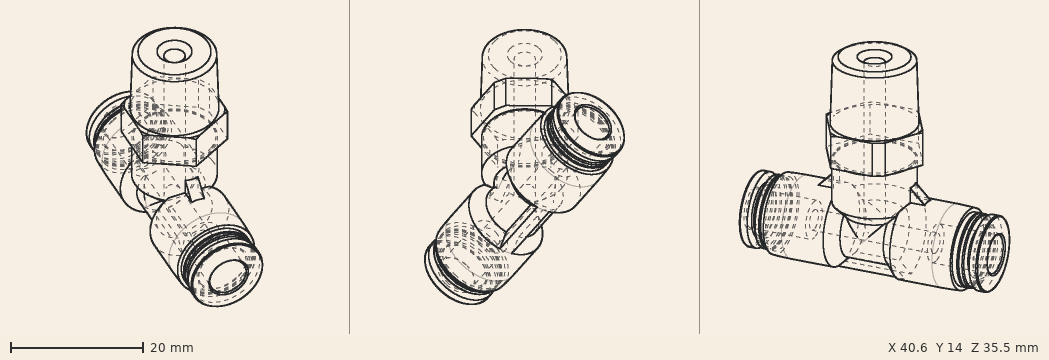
import cadquery as cq
import math

length = 40.6
half_length = length / 2
branch_top = 29.0

body_r = 6.5
neck_r = 4.63
shoulder_x = 5.55
neck_half_length = 3.6
crown_start_x = 12.55
body_end_x = 15.6
body_end_r = 6.37

ring_r = 11.5 / 2
ring_groove_r = 5.55
ring_groove_inner_x = 16.4
ring_groove_outer_x = 16.65
ring_end_x = 17.45
ring_chamfer = 0.2
button_neck_r = 4.05
button_r = 11.8 / 2
button_inner_x = 18.5
button_outer_x = 19.65
button_edge_x = 19.85
button_edge_r = 5.75
button_crown_x = 20.18
button_crown_r = 4.6
button_root_chamfer = 0.25

tube_bore_r = 6.0 / 2
tube_bore_depth = 10.15
bore_mouth_r = 3.25
passage_r = 3.2 / 2
countersink_r = 2.65
countersink_depth = 0.85

stem_r = body_r
stem_top = 12.2
stem_bottom = 5.0
groove_r = 6.25

hex_flats = 14.0
hex_bottom = 12.55
hex_top = 18.03
hex_corner_flat_distance = 7.5
flat_corner_angle = 120
hex_chamfer_r = 7.65
hex_chamfer_drop = 0.2

thread_base_r = 6.75
thread_top_r = 6.4
thread_tip_r = 5.52
thread_tip_height = 0.6

web_thickness = 2.1
gusset_reach = 15.25


def make_run_half():
    """Half of the run from the centre to +X, as a solid of revolution."""
    crown_mid_x = (crown_start_x + body_end_x) / 2
    crown_mid_r = body_r - (body_r - body_end_r) / 4
    return (
        cq.Workplane("XY")
        .moveTo(0, 0)
        .lineTo(0, neck_r)
        .lineTo(neck_half_length, neck_r)
        .lineTo(shoulder_x, body_r)
        .lineTo(crown_start_x, body_r)
        .threePointArc((crown_mid_x, crown_mid_r), (body_end_x, body_end_r))
        .lineTo(body_end_x, ring_r)
        .lineTo(ring_groove_inner_x, ring_r)
        .lineTo(ring_groove_inner_x, ring_groove_r)
        .lineTo(ring_groove_outer_x, ring_groove_r)
        .lineTo(ring_groove_outer_x, ring_r)
        .lineTo(ring_end_x - ring_chamfer, ring_r)
        .lineTo(ring_end_x, ring_r - ring_chamfer)
        .lineTo(ring_end_x, button_neck_r)
        .lineTo(button_inner_x - button_root_chamfer, button_neck_r)
        .lineTo(button_inner_x, button_neck_r + button_root_chamfer)
        .lineTo(button_inner_x, button_r)
        .lineTo(button_outer_x, button_r)
        .lineTo(button_edge_x, button_edge_r)
        .threePointArc((button_crown_x, button_crown_r), (half_length, bore_mouth_r))
        .lineTo(half_length, 0)
        .close()
        .revolve(360, (0, 0, 0), (1, 0, 0))
    )


def make_branch():
    """Neck, stem and tapered thread of the branch, as a solid of revolution."""
    cone_bottom = stem_bottom - (stem_r - neck_r)
    profile = [
        (0, 0),
        (neck_r, 0),
        (neck_r, cone_bottom),
        (stem_r, stem_bottom),
        (stem_r, stem_top),
        (groove_r, stem_top),
        (groove_r, hex_top),
        (thread_base_r, hex_top),
        (thread_top_r, branch_top - thread_tip_height),
        (thread_tip_r, branch_top),
        (0, branch_top),
    ]
    return cq.Workplane("XZ").polyline(profile).close().revolve(360, (0, 0, 0), (0, 1, 0))


def make_hexagon():
    """Wrench hexagon with corners on X, one flattened corner and its top corners chamfered."""
    height = hex_top - hex_bottom
    corner_diameter = hex_flats / math.cos(math.radians(30))
    hexagon = cq.Workplane("XY").workplane(offset=hex_bottom).polygon(6, corner_diameter).extrude(height)
    corner_cutter = (
        cq.Workplane("XY")
        .box(hex_flats, hex_flats, height, centered=(False, True, False))
        .translate((hex_corner_flat_distance, 0, hex_bottom))
        .rotate((0, 0, 0), (0, 0, 1), flat_corner_angle)
    )
    corner_r = corner_diameter / 2
    blank_profile = [
        (0, hex_bottom),
        (corner_r, hex_bottom),
        (corner_r, hex_top - hex_chamfer_drop),
        (hex_chamfer_r, hex_top),
        (0, hex_top),
    ]
    blank = cq.Workplane("XZ").polyline(blank_profile).close().revolve(360, (0, 0, 0), (0, 1, 0))
    return hexagon.cut(corner_cutter).intersect(blank)


def make_webs():
    """Triangular gussets beside the stem and a rib under the neck."""
    gussets = (
        cq.Workplane("XZ")
        .polyline([(-gusset_reach, 0), (gusset_reach, 0), (0, gusset_reach)])
        .close()
        .extrude(web_thickness / 2, both=True)
    )
    rib_slab = (
        cq.Workplane("XY")
        .box(2 * shoulder_x, web_thickness, body_r)
        .translate((0, 0, -body_r / 2))
    )
    run_envelope = cq.Workplane("YZ").circle(body_r).extrude(shoulder_x, both=True)
    rib = rib_slab.intersect(run_envelope)
    return gussets.union(rib)


def make_tube_bore():
    """Tube socket at +X with a small flared mouth."""
    flare = bore_mouth_r - tube_bore_r
    profile = [
        (half_length - tube_bore_depth, 0),
        (half_length - tube_bore_depth, tube_bore_r),
        (half_length - flare, tube_bore_r),
        (half_length, bore_mouth_r),
        (half_length, 0),
    ]
    return cq.Workplane("XY").polyline(profile).close().revolve(360, (0, 0, 0), (1, 0, 0))


def make_branch_bore():
    """Branch passage down to the run axis, countersunk at the top."""
    profile = [
        (0, 0),
        (passage_r, 0),
        (passage_r, branch_top - countersink_depth),
        (countersink_r, branch_top),
        (0, branch_top),
    ]
    return cq.Workplane("XZ").polyline(profile).close().revolve(360, (0, 0, 0), (0, 1, 0))


run_half = make_run_half()
tube_bore = make_tube_bore()
run_passage = cq.Workplane("YZ").workplane(offset=-half_length).circle(passage_r).extrude(length)

body = run_half.union(run_half.mirror("YZ"))
body = body.union(make_branch()).union(make_hexagon()).union(make_webs())
result = body.cut(run_passage).cut(make_branch_bore())
result = result.cut(tube_bore).cut(tube_bore.mirror("YZ"))